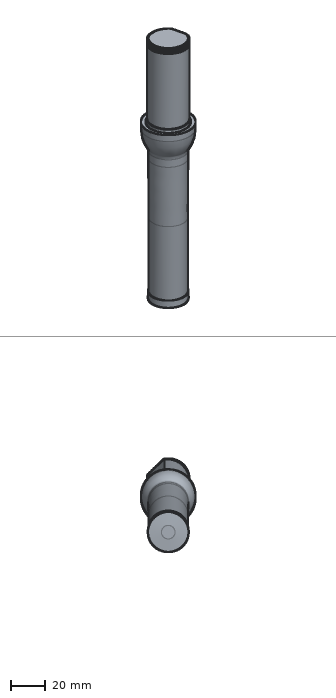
import cadquery as cq
import math


shank_diameter = 24.99
shank_radius = shank_diameter / 2
shank_length = 56.0
shank_end_radius = 23.1 / 2
end_chamfer_height = 0.8
flat_offset = 10.4
flat_runout_start = 6.0

groove_top = 54.7
groove_bottom = 52.6
groove_root_height = 53.8
groove_root_radius = shank_radius - 0.4

relief_radius = 24.5 / 2
relief_top = 2.2
relief_taper_height = 0.5
relief_depth = 0.2
relief_corner_radius = 0.8
relief_outer_radius = 26.6 / 2

flange_radius = 32.0 / 2
flange_rim_height = 4.25

neck_radius = 23.59 / 2
body_radius = 23.1 / 2
neck_top = -19.0
neck_bottom = -24.0
taper_bottom = -64.0
head_top = -113.6

head_top_radius = 23.59 / 2
head_rim_radius = 24.0 / 2
head_rim_bottom = -118.1
head_chamfer_height = 0.4
head_chamfer_width = 0.1
tip_flat_radius = 4.0
tip_bottom = -119.0

shoulder_top = -flange_rim_height
shoulder_height = shoulder_top - neck_top
shoulder_step = flange_radius - neck_radius
shoulder_angle = 2 * math.atan(shoulder_step / shoulder_height)
convex_radius = 23.0
shoulder_inflection = (
    flange_radius - convex_radius * (1 - math.cos(shoulder_angle)),
    shoulder_top - convex_radius * math.sin(shoulder_angle),
)
inflection_direction = (-math.sin(shoulder_angle), -math.cos(shoulder_angle))
down = (0, -1)


def revolve_about_z(profile):
    """Turn a closed profile drawn in the XZ plane about the Z axis."""
    return profile.close().revolve(360, (0, 0, 0), (0, 1, 0))


def make_holder():
    """Shank, flange and long drill body, turned in one piece."""
    corner_middle = relief_corner_radius * (1 - math.cos(math.pi / 4))
    profile = (
        cq.Workplane("XZ")
        .moveTo(0, shank_length)
        .lineTo(shank_end_radius, shank_length)
        .lineTo(shank_radius, shank_length - end_chamfer_height)
        .lineTo(shank_radius, groove_top)
        .lineTo(groove_root_radius, groove_root_height)
        .lineTo(shank_radius, groove_bottom)
        .lineTo(shank_radius, relief_top)
        .lineTo(relief_radius, relief_top - relief_taper_height)
        .lineTo(relief_radius, relief_corner_radius - relief_depth)
        .threePointArc(
            (relief_radius + corner_middle, corner_middle - relief_depth),
            (relief_radius + relief_corner_radius, -relief_depth),
        )
        .lineTo(relief_outer_radius, 0)
        .lineTo(flange_radius, 0)
        .lineTo(flange_radius, shoulder_top)
        .spline(
            [shoulder_inflection, (neck_radius, neck_top)],
            tangents=[down, inflection_direction, down],
            includeCurrent=True,
        )
        .lineTo(neck_radius, neck_bottom)
        .lineTo(body_radius, taper_bottom)
        .lineTo(body_radius, head_top)
        .lineTo(0, head_top)
    )
    return revolve_about_z(profile).cut(make_flat_cutter())


def make_flat_cutter():
    """Removes the shank beyond the clamping flat and its 45 degree run-out."""
    reach = flange_radius - flat_offset
    return (
        cq.Workplane("YZ")
        .moveTo(flat_offset, shank_length)
        .lineTo(flat_offset, flat_runout_start)
        .lineTo(flat_offset + reach, flat_runout_start - reach)
        .lineTo(flat_offset + reach, shank_length)
        .close()
        .extrude(flange_radius, both=True)
    )


def make_head():
    """Flared drill head with a chamfered rim and a shallow cone ending in a small flat."""
    profile = (
        cq.Workplane("XZ")
        .moveTo(0, head_top)
        .lineTo(head_top_radius, head_top)
        .lineTo(head_rim_radius, head_rim_bottom)
        .lineTo(head_rim_radius - head_chamfer_width, head_rim_bottom - head_chamfer_height)
        .lineTo(tip_flat_radius, tip_bottom)
        .lineTo(0, tip_bottom)
    )
    return revolve_about_z(profile)


holder = make_holder()
head = make_head()

result = cq.Compound.makeCompound([holder.val(), head.val()])